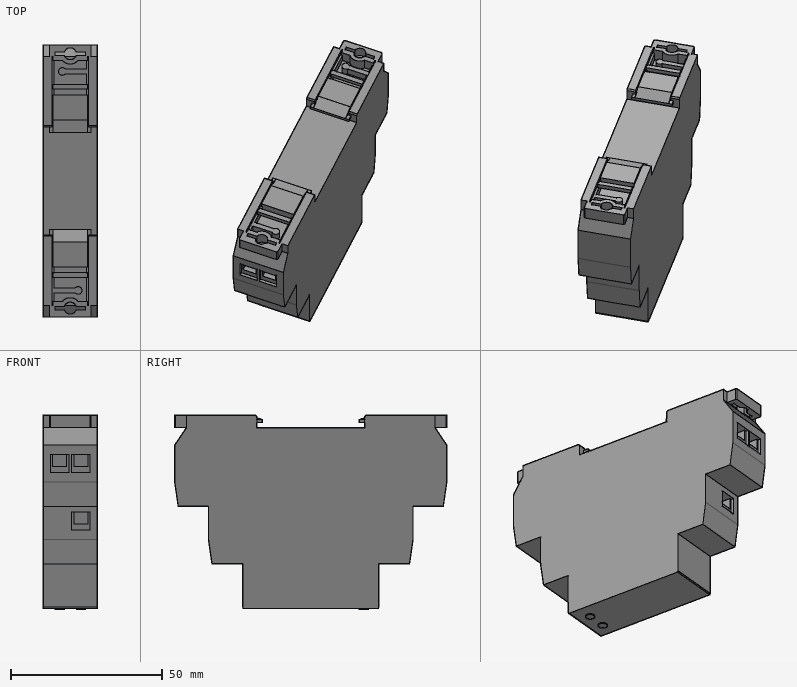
import cadquery as cq

width = 18.0
half_length = 45.0
top_z = 63.9
deck_z = 59.8

wall_end_y = 41.1
wall_inner_y = 17.8
wall_chamfer = 0.45
shoulder_z = 54.0
taper_height = 8.1
taper_run = 1.2
upper_step_z = 33.75
middle_half_length = 33.8
lower_step_z = 14.8
base_half_length = 22.5
base_chamfer_height = 0.45
base_chamfer_run = 0.2

mouth_x = 3.4
mouth_width = 6.1
mouth_height = 5.9
mouth_depth = 1.0
throat_x = 3.5
throat_width = 4.7
throat_height = 4.0
throat_depth = 9.0
upper_mouth_top_z = 50.85
lower_mouth_top_z = 31.9

channel_width = 12.15
well_width = 10.6
ledge_z = 62.5

clip_width = 11.5
clip_block_width = 13.9
block_chamfer = 0.4
block_inner_y = 39.9
screw_y = 42.0
screw_diameter = 4.0
boss_diameter = 6.8
slot_length = 10.2
slot_width = 1.1
bar_y_range = (30.3, 31.95)
tongue_outer_y = 28.4
tongue_bend_y = 20.2
tongue_tip_y = 16.0
tongue_tip_top_z = 62.5
tongue_tip_bottom_z = 61.5
tab_width = clip_block_width

key_y = 36.2
key_stem_width = 1.6
key_head_x = -2.6
key_head_diameter = 2.5

pad_diameter = 3.1
pad_height = 0.4
pad_x = throat_x
pad_y = 17.55


def box(x0, x1, y0, y1, z0, z1):
    """Box between two opposite corners."""
    return cq.Workplane("XY").box(x1 - x0, y1 - y0, z1 - z0, centered=False).translate((x0, y0, z0))


def centred_box(span_x, y0, y1, z0, z1):
    """Box centred on X = 0."""
    return box(-span_x / 2, span_x / 2, y0, y1, z0, z1)


def cylinder(x, y, diameter, z0, z1):
    """Upright cylinder."""
    return cq.Workplane("XY", origin=(x, y, z0)).circle(diameter / 2).extrude(z1 - z0)


def body():
    """Stepped housing, the same half profile mirrored to both ends."""
    half_profile = [
        (0, 0),
        (base_half_length - base_chamfer_run, 0),
        (base_half_length, base_chamfer_height),
        (base_half_length, lower_step_z),
        (middle_half_length - taper_run, lower_step_z),
        (middle_half_length, lower_step_z + taper_height),
        (middle_half_length, upper_step_z),
        (half_length - taper_run, upper_step_z),
        (half_length, upper_step_z + taper_height),
        (half_length, shoulder_z),
        (wall_end_y, deck_z),
        (wall_end_y, top_z),
        (wall_inner_y + wall_chamfer, top_z),
        (wall_inner_y, top_z - wall_chamfer),
        (wall_inner_y, deck_z),
        (0, deck_z),
    ]
    half = cq.Workplane("YZ").polyline(half_profile).close().extrude(width / 2, both=True)
    return half.union(half.mirror("XZ"))


def terminal_opening(side, face_y, mouth_top_z):
    """Shallow square mouth with a deeper, narrower throat, on the -Y end."""
    mouth = centred_box(mouth_width, face_y, face_y + mouth_depth, mouth_top_z - mouth_height, mouth_top_z)
    throat_end_y = face_y + mouth_depth + throat_depth
    throat = centred_box(throat_width, face_y, throat_end_y, mouth_top_z - throat_height, mouth_top_z)
    return mouth.translate((side * mouth_x, 0, 0)).union(throat.translate((side * throat_x, 0, 0)))


def channel():
    """Space cleared between the side walls at the +Y end."""
    upper = centred_box(channel_width, wall_inner_y, wall_end_y, ledge_z, top_z)
    well = centred_box(well_width, wall_inner_y, wall_end_y, deck_z, top_z)
    return upper.union(well)


def clip():
    """Clip and key that fill the channel at the +Y end."""
    half_slot = slot_width / 2
    boss = cylinder(0, screw_y, boss_diameter, deck_z, top_z)
    inner_half_of_boss = boss.intersect(centred_box(clip_width, 0, screw_y, deck_z, top_z))
    block = (
        centred_box(clip_block_width, wall_end_y, half_length, deck_z, top_z)
        .edges("|Z and >Y").chamfer(block_chamfer)
        .union(centred_box(clip_width, block_inner_y, wall_end_y, deck_z, top_z))
        .union(inner_half_of_boss)
        .cut(cylinder(0, screw_y, screw_diameter, deck_z, top_z))
        .cut(centred_box(slot_length, screw_y - half_slot, screw_y + half_slot, deck_z, top_z))
    )
    bar = centred_box(clip_width, *bar_y_range, ledge_z, top_z)
    tongue_profile = [
        (tongue_outer_y, deck_z),
        (tongue_outer_y, top_z),
        (tongue_bend_y, top_z),
        (tongue_tip_y, tongue_tip_top_z),
        (tongue_tip_y, tongue_tip_bottom_z),
        (wall_inner_y, tongue_tip_bottom_z),
        (wall_inner_y, deck_z),
    ]
    tongue = cq.Workplane("YZ").polyline(tongue_profile).close().extrude(clip_width / 2, both=True)
    tabs = centred_box(tab_width, tongue_tip_y, wall_inner_y, tongue_tip_bottom_z, tongue_tip_top_z)
    half_stem = key_stem_width / 2
    stem = box(key_head_x, well_width / 2, key_y - half_stem, key_y + half_stem, deck_z, ledge_z)
    head = cylinder(key_head_x, key_y, key_head_diameter, deck_z, ledge_z)
    return block.union(bar).union(tongue).union(tabs).union(stem).union(head)


result = body()

terminals = [
    (-1, -half_length, upper_mouth_top_z),
    (1, -half_length, upper_mouth_top_z),
    (1, -middle_half_length, lower_mouth_top_z),
]
for side, face_y, mouth_top_z in terminals:
    result = result.cut(terminal_opening(side, face_y, mouth_top_z))

for turn in (0, 180):
    result = result.cut(channel().rotate((0, 0, 0), (0, 0, 1), turn))
    result = result.union(clip().rotate((0, 0, 0), (0, 0, 1), turn))

for side in (-1, 1):
    result = result.union(cylinder(side * pad_x, pad_y, pad_diameter, -pad_height, 0))